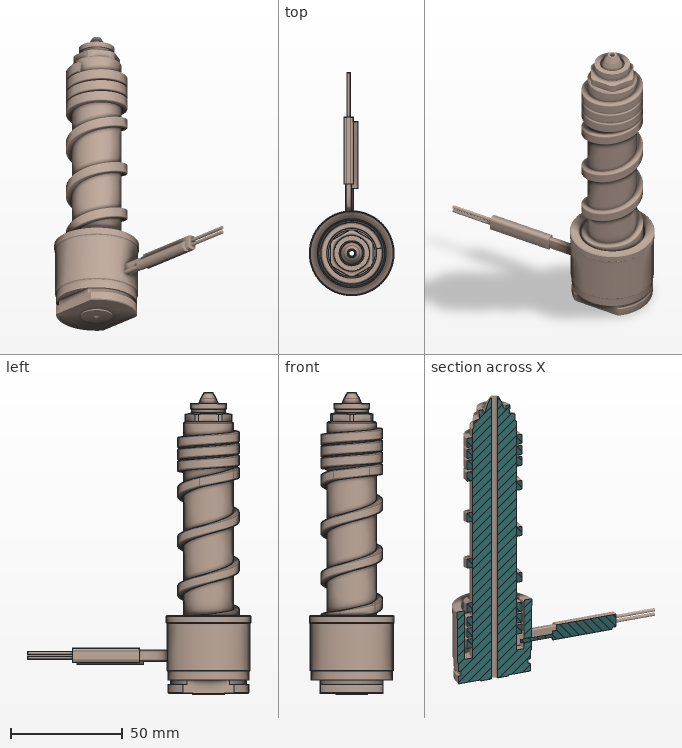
import cadquery as cq
import math


PAD_HEIGHT = 0.5
FOOT_TOP = 4.4
NECK_TOP = 6.4
COLLAR_TOP = 10.4
BORE_FLOOR = 12.0
CUP_TOP = 35.3
RIM_BOTTOM = 31.8
HEX_BOTTOM = 122.3
HEX_TOP = 125.5
HEX_SHOULDER_TOP = 126.1
DISC_BOTTOM = 128.0
RECESS_FLOOR = 128.7
DISC_TOP = 130.3
TIP_KNEE = 132.6
TIP_TOP = 135.2

PAD_RADIUS = 7.1
COLLAR_RADIUS = 18.2
NECK_RADIUS = 17.0
CUP_RADIUS = 18.65
RIM_RADIUS = 19.0
BORE_RADIUS = 14.8
BORE_CHAMFER = 0.6
TUBE_RADIUS = 11.15
TUBE_CHAMFER = 0.7
HEX_RADIUS = 10.5
HEX_ACROSS_FLATS = 19.0
TIP_NECK_RADIUS = 7.6
DISC_RADIUS = 8.0
TIP_NECK_CHAMFER = 0.35
RECESS_RADIUS = 5.6
TIP_BASE_RADIUS = 5.0
TIP_KNEE_RADIUS = 3.5
TIP_RADIUS = 1.95
CHANNEL_RADIUS = 1.3
FOOT_FLAT_DISTANCE = 14.1
EDGE_CHAMFER = 0.4

COIL_RADIUS = 13.85
STRAND_HEIGHT = 4.6
STRAND_FILLET = 0.5
COIL_END_ANGLE = 10.0
COIL_END_HEIGHT = 117.0
CLOSE_PITCH = 5.3
CLOSER_PITCH = 9.0
WIDER_PITCH = 16.0
OPEN_PITCH = 22.1
TOP_CLOSE_ANGLE = 3 * 360 + 65
TRANSITION_ANGLE = 71
OPEN_ANGLE = 2 * 360 + 204
BOTTOM_CLOSE_ANGLE = 3 * 360 + 87

LEAD_END = 81.0
SLEEVE_LENGTH = 30.0
CABLE_START = 13.0
CABLE_X = -1.4
CABLE_Z = 17.5
CABLE_WIDTH = 2.6
CABLE_HEIGHT = 5.0
CABLE_FILLET = 0.45
SLEEVE_END = 61.0
SLEEVE_WIDTH = 4.2
SLEEVE_HEIGHT = 6.5
SLEEVE_FILLET = 1.2
WIRE_RADIUS = 0.75
WIRE_SPACING = 2.1
SENSOR_Z = 15.7
SENSOR_LEAD_X = -0.2
SENSOR_LEAD_RADIUS = 0.9
SENSOR_SLEEVE_X = 0.55
SENSOR_SLEEVE_RADIUS = 2.3
SENSOR_SLEEVE_END = 59.0


def cylinder(radius, bottom, top):
    return cq.Workplane("XY").workplane(offset=bottom).circle(radius).extrude(top - bottom)


def bar_along_y(outline, start, end):
    """Extrude an outline drawn on the XZ plane from y = start to y = end."""
    return outline.extrude(start - end).translate((0, start, 0))


def round_bar(x, z, radius, start, end):
    return bar_along_y(cq.Workplane("XZ").center(x, z).circle(radius), start, end)


def rounded_bar(width, height, fillet, start, end):
    outline = cq.Workplane("XZ").center(CABLE_X, CABLE_Z).rect(width, height)
    return bar_along_y(outline, start, end).edges("|Y").fillet(fillet)


def cable():
    """The flat cable and the sensor lead beside it, from the coil out to the sleeves."""
    power = rounded_bar(CABLE_WIDTH, CABLE_HEIGHT, CABLE_FILLET, CABLE_START, SLEEVE_END)
    sensor = round_bar(SENSOR_LEAD_X, SENSOR_Z, SENSOR_LEAD_RADIUS, CABLE_START, SENSOR_SLEEVE_END)
    return power.union(sensor)


def foot():
    """Pad, foot and neck, with two flats facing -X and +X."""
    disc = cylinder(COLLAR_RADIUS, PAD_HEIGHT, FOOT_TOP).faces("<Z").chamfer(EDGE_CHAMFER)
    disc = disc.union(cylinder(NECK_RADIUS, FOOT_TOP, NECK_TOP))
    flats = cq.Workplane("XY").box(
        2 * FOOT_FLAT_DISTANCE, 2 * RIM_RADIUS, NECK_TOP, centered=(True, True, False)
    )
    return disc.intersect(flats).union(cylinder(PAD_RADIUS, 0, PAD_HEIGHT))


def cup():
    """Collar, housing wall and rim, with the bore that takes the lower coil."""
    collar = cylinder(COLLAR_RADIUS, NECK_TOP, COLLAR_TOP)
    wall = cylinder(CUP_RADIUS, COLLAR_TOP, RIM_BOTTOM).faces("<Z").chamfer(EDGE_CHAMFER)
    rim = cylinder(RIM_RADIUS, RIM_BOTTOM, CUP_TOP).edges().chamfer(EDGE_CHAMFER)
    bore = cylinder(BORE_RADIUS, BORE_FLOOR, CUP_TOP)
    bore_mouth = cq.Workplane(cq.Solid.makeCone(
        BORE_RADIUS, BORE_RADIUS + BORE_CHAMFER, BORE_CHAMFER, cq.Vector(0, 0, CUP_TOP - BORE_CHAMFER)
    ))
    return collar.union(wall).union(rim).cut(bore).cut(bore_mouth)


def hexagon():
    """Hexagon with two corners on Y, its corners turned off and its top edge sloping inwards."""
    corner_circle = HEX_ACROSS_FLATS / math.cos(math.pi / 6)
    prism = (
        cq.Workplane("XY").workplane(offset=HEX_BOTTOM).polygon(6, corner_circle)
        .extrude(HEX_SHOULDER_TOP - HEX_BOTTOM).rotate((0, 0, 0), (0, 0, 1), 30)
    )
    turned = (
        cq.Workplane("XZ")
        .polyline([
            (0, HEX_BOTTOM), (HEX_RADIUS, HEX_BOTTOM), (HEX_RADIUS, HEX_TOP),
            (TIP_NECK_RADIUS, HEX_SHOULDER_TOP), (0, HEX_SHOULDER_TOP),
        ])
        .close().revolve(360, (0, 0), (0, 1))
    )
    return prism.intersect(turned)


def tip():
    """Neck, disc with a ring-shaped recess, and the point standing in the recess."""
    recess = cylinder(RECESS_RADIUS, RECESS_FLOOR, DISC_TOP)
    disc = cylinder(DISC_RADIUS, DISC_BOTTOM, DISC_TOP).cut(recess)
    neck = cylinder(TIP_NECK_RADIUS, HEX_SHOULDER_TOP, DISC_BOTTOM).edges().chamfer(TIP_NECK_CHAMFER)
    point = (
        cq.Workplane("XZ")
        .moveTo(0, RECESS_FLOOR)
        .lineTo(TIP_BASE_RADIUS, RECESS_FLOOR)
        .lineTo(TIP_KNEE_RADIUS, TIP_KNEE)
        .lineTo(TIP_RADIUS, TIP_TOP)
        .lineTo(0, TIP_TOP)
        .close().revolve(360, (0, 0), (0, 1))
    )
    return neck.union(disc).union(point)


def make_nozzle():
    tube = cylinder(TUBE_RADIUS, BORE_FLOOR, HEX_BOTTOM).faces(">Z").chamfer(TUBE_CHAMFER)
    body = foot().union(cup()).union(tube).union(hexagon()).union(tip())
    channel = cylinder(CHANNEL_RADIUS, 0, TIP_TOP)
    return body.cut(channel).cut(cable())


def coil_stretch(pitch, turn_angle, start_angle, start_height):
    """One stretch of the strand, winding up and counterclockwise from its lower end."""
    path = cq.Wire.makeHelix(pitch, pitch * turn_angle / 360, COIL_RADIUS)
    half = STRAND_HEIGHT / 2
    fillet = STRAND_FILLET
    bend = fillet * (1 - math.sqrt(0.5))
    section = (
        cq.Workplane("XZ")
        .moveTo(TUBE_RADIUS, -half)
        .lineTo(COIL_RADIUS - fillet, -half)
        .threePointArc((COIL_RADIUS - bend, bend - half), (COIL_RADIUS, fillet - half))
        .lineTo(COIL_RADIUS, half - fillet)
        .threePointArc((COIL_RADIUS - bend, half - bend), (COIL_RADIUS - fillet, half))
        .lineTo(TUBE_RADIUS, half)
        .close()
    )
    stretch = section.sweep(cq.Workplane(path), isFrenet=True)
    return stretch.rotate((0, 0, 0), (0, 0, 1), start_angle).translate((0, 0, start_height))


def make_coil():
    """The strand, built stretch by stretch from its upper end down into the cup."""
    stretches = [
        (CLOSE_PITCH, TOP_CLOSE_ANGLE),
        (CLOSER_PITCH, TRANSITION_ANGLE),
        (WIDER_PITCH, TRANSITION_ANGLE),
        (OPEN_PITCH, OPEN_ANGLE),
        (WIDER_PITCH, TRANSITION_ANGLE),
        (CLOSER_PITCH, TRANSITION_ANGLE),
        (CLOSE_PITCH, BOTTOM_CLOSE_ANGLE),
    ]
    angle = COIL_END_ANGLE
    height = COIL_END_HEIGHT
    coil = cq.Workplane("XY")
    for pitch, turn_angle in stretches:
        angle -= turn_angle
        height -= pitch * turn_angle / 360
        coil = coil.add(coil_stretch(pitch, turn_angle, angle, height))
    return coil.combine()


def make_leads():
    """Cable, the two sleeves and the two bare wires."""
    leads = cable()
    leads = leads.union(
        rounded_bar(SLEEVE_WIDTH, SLEEVE_HEIGHT, SLEEVE_FILLET, SLEEVE_END - SLEEVE_LENGTH, SLEEVE_END)
    )
    leads = leads.union(
        round_bar(SENSOR_SLEEVE_X, SENSOR_Z, SENSOR_SLEEVE_RADIUS,
                  SENSOR_SLEEVE_END - SLEEVE_LENGTH, SENSOR_SLEEVE_END)
    )
    for side in (-1, 1):
        wire_z = CABLE_Z + side * WIRE_SPACING / 2
        leads = leads.union(round_bar(CABLE_X, wire_z, WIRE_RADIUS, SLEEVE_END, LEAD_END))
    return leads


nozzle = make_nozzle()
heater = make_coil().union(make_leads())

result = cq.Compound.makeCompound([nozzle.val(), heater.val()])